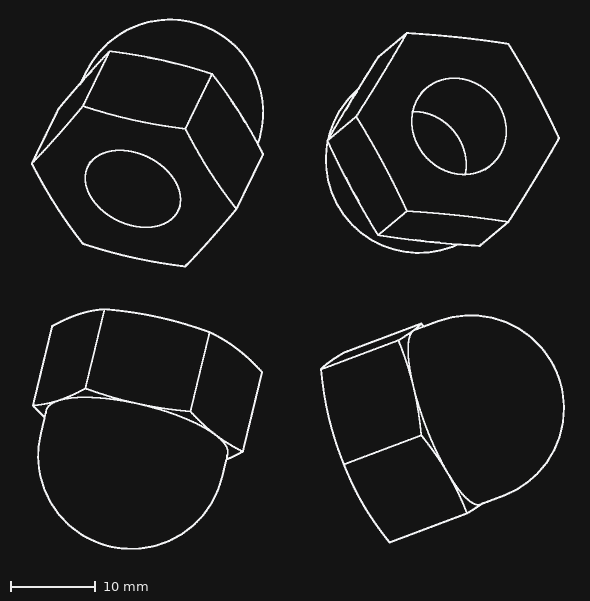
import cadquery as cq
import math

across_corners = 25.4
total_length = 25.0
hex_length = 11.0
bore_diameter = 11.84
chamfer_angle = 15.0

corner_radius = across_corners / 2
flat_radius = corner_radius * math.cos(math.radians(30))
chamfer_depth = (corner_radius - flat_radius) * math.tan(math.radians(chamfer_angle))
dome_start = total_length - flat_radius
bore_depth = dome_start


def along_y():
    """Workplane at Y = 0 whose extrusions run toward +Y."""
    return cq.Workplane("XZ").transformed(rotate=(180, 0, 0))


def hexagon():
    """Hexagonal prism with both ends turned to a cone that meets the flats."""
    prism = along_y().polygon(6, across_corners).extrude(hex_length)
    turned_blank = (
        cq.Workplane("XY")
        .moveTo(0, 0)
        .lineTo(flat_radius, 0)
        .lineTo(corner_radius, chamfer_depth)
        .lineTo(corner_radius, hex_length - chamfer_depth)
        .lineTo(flat_radius, hex_length)
        .lineTo(0, hex_length)
        .close()
        .revolve(360, (0, 0, 0), (0, 1, 0))
    )
    return prism.intersect(turned_blank)


def domed_cap():
    """Cylindrical collar closed by a hemisphere."""
    arc_offset = flat_radius * math.sqrt(0.5)
    return (
        cq.Workplane("XY")
        .moveTo(0, hex_length)
        .lineTo(flat_radius, hex_length)
        .lineTo(flat_radius, dome_start)
        .threePointArc((arc_offset, dome_start + arc_offset), (0, total_length))
        .close()
        .revolve(360, (0, 0, 0), (0, 1, 0))
    )


bore = along_y().circle(bore_diameter / 2).extrude(bore_depth)
result = hexagon().union(domed_cap()).cut(bore)